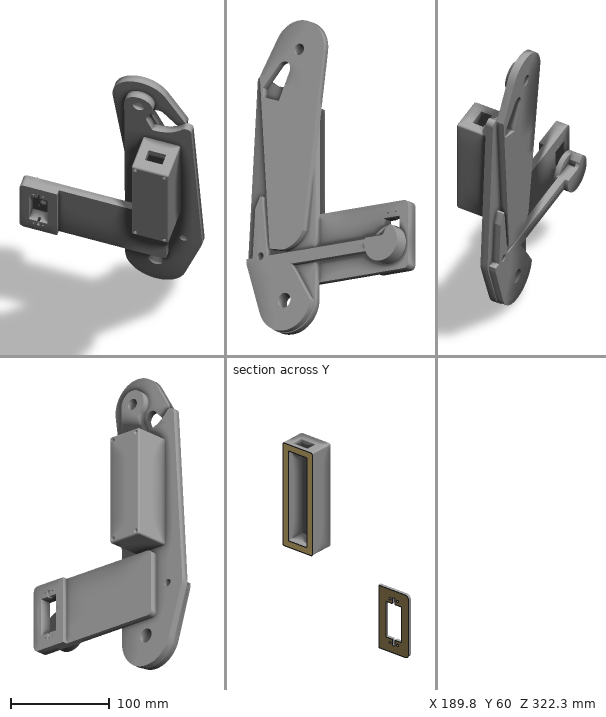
import cadquery as cq
import math


plate_thickness = 8.0
front_plate_face = -plate_thickness
lower_lever_thickness = 7.7
arm_thickness = 8.0
pad_thickness = 5.5
arm_face = front_plate_face - arm_thickness

pivot = (0, 0)
pivot_hole_diameter = 15.0
side_pivot = (29.3, 50.0)
side_hole_diameter = 8.0
top_pivot = (-18.5, 259.5)
top_hole_diameter = 12.0

pivot_lobe_radius = 32.5
side_lobe_radius = 20.0
top_lobe_radius = 15.0
horn_tip = (32.5, 235.8)
horn_tip_radius = 5.0
mouth_centre = (-2.0, 263.2)
mouth_left_angle = -92.5
notch_centre = (0.3, 241.5)
notch_edge_angle = 204

upper_lobe_radius = 30.3
upper_corner = (29.5, 238.0)
upper_left_corner = (-24.0, 74.0)
upper_left_facet_end = (-23.2, 70.2)
upper_end_mid = (-14.5, 59.3)
upper_end = (1.5, 52.8)
upper_right_foot = (17.7, 56.5)
window_radius = 7.7
window_right_angle = 43
window_left_length = 32.2
window_right_length = 29.0
window_right_drop = 9.7

disc_diameter = 40.0
disc_radius = disc_diameter / 2
disc_centre = (-120.5, 43.2)
web_thickness = 4.5
web_rim = 1.3
web_chamfer_width = 2.3
carrier_length = 12.0
disc_bore_diameter = 7.0
disc_pin_hole_diameter = 2.0
disc_pin_holes = [(7.5, 11.0), (-4.5, -6.8)]
shoulder_start = (-131.8, 59.5)
shoulder_crest = (-128.2, 57.0)

lower_lobe_radius = 31.5
bar_height = 12.5
bar_top = disc_centre[1] + bar_height / 2
bar_bottom = bar_top - bar_height
bar_tip = -125.3
bar_tip_radius = 4.8
bar_right = 46.0
bar_right_height = 5.8
ramp_foot_angle = 186.5
ramp_top = (-8.0, bar_bottom)
finger_outline = [(38.7, bar_top), (35.5, 101.0), (29.5, 112.5), (27.5, 112.5), (21.0, bar_top)]

arm_length = 154.5
arm_height = 71.2
arm_corner_radius = 5.0
arm_left = disc_centre[0] - disc_radius
arm_centre_z = 52.8
pad_length = 40.0
arm_window_width = 20.0
arm_window_height = 40.0
mount_hole_diameter = 2.0
mount_hole_spacing_x = 10.0
mount_hole_spacing_z = 49.5
cable_slot_width = 3.0
cable_slot_span = 53.5

box_width = 39.3
box_height = 116.5
box_centre = (6.5, 150.8)
box_depth = 32.0
lid_thickness = 8.0
box_edge_radius = 2.0
box_wall = 7.7
box_back_wall = 6.0
box_window_width = 18.7
box_window_depth = 12.5
box_window_centre_y = -29.0
screw_inset = 4.2
screw_hole_diameter = 2.0
countersink_diameter = 4.8
countersink_angle = 90


def polar(centre, radius, angle):
    """Point on a circle in the XZ plane, the angle in degrees from +X towards +Z."""
    turn = math.radians(angle)
    return (centre[0] + radius * math.cos(turn), centre[1] + radius * math.sin(turn))


def direction(start, end):
    """Angle in degrees of the line from start to end."""
    return math.degrees(math.atan2(end[1] - start[1], end[0] - start[0]))


def tangent_angle(centre_a, radius_a, centre_b, radius_b):
    """Angle of the tangent points on the right-hand side when going from circle a to circle b."""
    spread = math.acos((radius_a - radius_b) / math.dist(centre_a, centre_b))
    return direction(centre_a, centre_b) - math.degrees(spread)


def arc_to(path, centre, radius, start_angle, end_angle):
    """Continue a path along a circle from start_angle to end_angle."""
    middle = polar(centre, radius, (start_angle + end_angle) / 2)
    return path.threePointArc(middle, polar(centre, radius, end_angle))


def sketch_plane(y):
    """Plane facing -Y, on which X and Z are the sketch axes."""
    return cq.Workplane("XZ", origin=(0, y, 0))


def cylinder(centre, diameter, y_back, length):
    """Cylinder along Y that starts at y_back and runs towards -Y."""
    return sketch_plane(y_back).center(*centre).circle(diameter / 2).extrude(length)


def block(width, height, centre, y_back, depth):
    """Block centred in X and Z that starts at y_back and runs towards -Y."""
    return sketch_plane(y_back).center(*centre).rect(width, height).extrude(depth)


def make_front_plate():
    notch_radius = math.dist(notch_centre, top_pivot) - top_lobe_radius
    side_angle = tangent_angle(pivot, pivot_lobe_radius, side_pivot, side_lobe_radius)
    horn_angle = tangent_angle(side_pivot, side_lobe_radius, horn_tip, horn_tip_radius)
    left_angle = tangent_angle(top_pivot, top_lobe_radius, pivot, pivot_lobe_radius) + 360
    mouth_radius = math.dist(mouth_centre, horn_tip) - horn_tip_radius
    mouth_right_angle = direction(mouth_centre, horn_tip)
    horn_end_angle = mouth_right_angle + 180
    notch_to_lobe = direction(notch_centre, top_pivot)
    lobe_to_notch = notch_to_lobe - 180

    path = sketch_plane(0).moveTo(*polar(pivot, pivot_lobe_radius, side_angle))
    path = path.lineTo(*polar(side_pivot, side_lobe_radius, side_angle))
    path = arc_to(path, side_pivot, side_lobe_radius, side_angle, horn_angle)
    path = path.lineTo(*polar(horn_tip, horn_tip_radius, horn_angle))
    path = arc_to(path, horn_tip, horn_tip_radius, horn_angle, horn_end_angle)
    path = arc_to(path, mouth_centre, mouth_radius, mouth_right_angle, mouth_left_angle)
    path = path.lineTo(*polar(notch_centre, notch_radius, notch_edge_angle))
    path = arc_to(path, notch_centre, notch_radius, notch_edge_angle, notch_to_lobe)
    path = arc_to(path, top_pivot, top_lobe_radius, lobe_to_notch, left_angle)
    path = path.lineTo(*polar(pivot, pivot_lobe_radius, left_angle))
    path = arc_to(path, pivot, pivot_lobe_radius, left_angle, side_angle + 360)
    plate = path.close().extrude(plate_thickness)

    plate = plate.cut(cylinder(pivot, pivot_hole_diameter, 0, plate_thickness))
    plate = plate.cut(cylinder(side_pivot, side_hole_diameter, 0, plate_thickness))
    return plate.cut(cylinder(top_pivot, top_hole_diameter, 0, plate_thickness))


def make_upper_lever():
    right_angle = tangent_angle(upper_corner, 0, top_pivot, upper_lobe_radius)
    left_angle = tangent_angle(top_pivot, upper_lobe_radius, upper_left_corner, 0) + 360

    path = sketch_plane(plate_thickness).moveTo(*upper_corner)
    path = path.lineTo(*polar(top_pivot, upper_lobe_radius, right_angle))
    path = arc_to(path, top_pivot, upper_lobe_radius, right_angle, left_angle)
    path = path.lineTo(*upper_left_corner)
    path = path.lineTo(*upper_left_facet_end)
    path = path.threePointArc(upper_end_mid, upper_end)
    path = path.lineTo(*upper_right_foot)
    lever = path.close().extrude(plate_thickness)

    left_point = polar(notch_centre, window_radius, notch_edge_angle)
    right_point = polar(notch_centre, window_radius, window_right_angle)
    window = sketch_plane(plate_thickness).moveTo(*right_point)
    window = arc_to(window, notch_centre, window_radius, window_right_angle, notch_edge_angle)
    window = window.lineTo(*polar(left_point, window_left_length, notch_edge_angle + 90))
    right_end = polar(right_point, window_right_length, window_right_angle - 90)
    window = window.lineTo(right_end[0], right_end[1] - window_right_drop)
    window = window.lineTo(*right_end)
    lever = lever.cut(window.close().extrude(plate_thickness))
    return lever.cut(cylinder(top_pivot, top_hole_diameter, plate_thickness, plate_thickness))


def make_lower_lever():
    bar_right_foot = (bar_right, bar_top - bar_right_height)
    lobe_angle = tangent_angle(pivot, lower_lobe_radius, bar_right_foot, 0)

    path = sketch_plane(lower_lever_thickness).moveTo(*polar(pivot, lower_lobe_radius, lobe_angle))
    path = path.lineTo(*bar_right_foot)
    path = path.lineTo(bar_right, bar_top)
    for corner in finger_outline:
        path = path.lineTo(*corner)
    path = path.lineTo(bar_tip + bar_tip_radius, bar_top)
    upper_tip = (bar_tip + bar_tip_radius, bar_top - bar_tip_radius)
    lower_tip = (bar_tip + bar_tip_radius, bar_bottom + bar_tip_radius)
    path = arc_to(path, upper_tip, bar_tip_radius, 90, 180)
    path = path.lineTo(bar_tip, lower_tip[1])
    path = arc_to(path, lower_tip, bar_tip_radius, 180, 270)
    path = path.lineTo(*ramp_top)
    path = path.lineTo(*polar(pivot, lower_lobe_radius, ramp_foot_angle))
    path = arc_to(path, pivot, lower_lobe_radius, ramp_foot_angle, lobe_angle + 360)
    lever = path.close().extrude(lower_lever_thickness)

    lever = lever.cut(cylinder(pivot, pivot_hole_diameter, lower_lever_thickness, lower_lever_thickness))
    return lever.cut(cylinder(side_pivot, side_hole_diameter, lower_lever_thickness, lower_lever_thickness))


def make_disc():
    disc_length = carrier_length + web_thickness
    clearance = disc_diameter
    cut_top = shoulder_start[1] + clearance
    cut_right = bar_tip + clearance
    shoulder_round = (bar_tip + bar_tip_radius, bar_top + bar_tip_radius)

    carrier = cylinder(disc_centre, disc_diameter, carrier_length, disc_length)
    cutaway = sketch_plane(carrier_length).moveTo(shoulder_start[0], cut_top)
    cutaway = cutaway.lineTo(*shoulder_start)
    cutaway = cutaway.threePointArc(shoulder_crest, (bar_tip, shoulder_round[1]))
    cutaway = arc_to(cutaway, shoulder_round, bar_tip_radius, 180, 270)
    cutaway = cutaway.lineTo(cut_right, bar_top)
    cutaway = cutaway.lineTo(cut_right, cut_top)
    carrier = carrier.cut(cutaway.close().extrude(disc_length))

    slot_centre = (bar_tip + clearance / 2, bar_bottom + clearance / 2)
    slot = block(clearance, clearance, slot_centre, lower_lever_thickness, lower_lever_thickness)
    carrier = carrier.cut(slot)

    web = cylinder(disc_centre, disc_diameter, 0, web_thickness)
    web = web.faces(">Y").chamfer(web_thickness - web_rim, web_chamfer_width)
    disc = carrier.union(web)

    disc = disc.cut(cylinder(disc_centre, disc_bore_diameter, 0, web_thickness))
    for offset_x, offset_z in disc_pin_holes:
        centre = (disc_centre[0] + offset_x, disc_centre[1] + offset_z)
        disc = disc.cut(cylinder(centre, disc_pin_hole_diameter, 0, web_thickness))
    return disc


def mount_opening(y_back, depth):
    """Rectangular window with a small screw hole near each of its corners."""
    centre = (disc_centre[0], arm_centre_z)
    window = block(arm_window_width, arm_window_height, centre, y_back, depth)
    holes = (
        sketch_plane(y_back)
        .center(*centre)
        .rect(mount_hole_spacing_x, mount_hole_spacing_z, forConstruction=True)
        .vertices()
        .circle(mount_hole_diameter / 2)
        .extrude(depth)
    )
    return window.add(holes).combine()


def make_arm():
    centre = (arm_left + arm_length / 2, arm_centre_z)
    arm = block(arm_length, arm_height, centre, front_plate_face, arm_thickness)
    arm = arm.edges("|Y").fillet(arm_corner_radius)
    return arm.cut(mount_opening(front_plate_face, arm_thickness))


def make_pad():
    centre = (arm_left + pad_length / 2, arm_centre_z)
    pad = block(pad_length, arm_height, centre, arm_face, pad_thickness)
    pad = pad.edges("|Y and <X").fillet(arm_corner_radius)
    pad = pad.cut(mount_opening(arm_face, pad_thickness))
    slot_centre = (disc_centre[0], arm_centre_z)
    return pad.cut(block(cable_slot_width, cable_slot_span, slot_centre, arm_face, pad_thickness))


def make_box():
    box = block(box_width, box_height, box_centre, front_plate_face, box_depth)
    box = box.edges("|Y").fillet(box_edge_radius)
    cavity = block(
        box_width - 2 * box_wall,
        box_height - 2 * box_wall,
        box_centre,
        front_plate_face - box_back_wall,
        box_depth - box_back_wall,
    )
    top = box_centre[1] + box_height / 2
    window = cq.Workplane("XY", origin=(box_centre[0], box_window_centre_y, top))
    window = window.rect(box_window_width, box_window_depth).extrude(-box_wall)
    return box.cut(cavity).cut(window)


def make_lid():
    lid = block(box_width, box_height, box_centre, front_plate_face - box_depth, lid_thickness)
    lid = lid.edges("|Y").fillet(box_edge_radius)
    lid = lid.faces("<Y").edges().fillet(box_edge_radius)
    return (
        lid.faces("<Y")
        .workplane(origin=(box_centre[0], 0, box_centre[1]))
        .rect(box_width - 2 * screw_inset, box_height - 2 * screw_inset, forConstruction=True)
        .vertices()
        .cskHole(screw_hole_diameter, countersink_diameter, countersink_angle)
    )


front_plate = make_front_plate()
upper_lever = make_upper_lever()
lower_lever = make_lower_lever()
disc = make_disc()
arm = make_arm()
pad = make_pad()
box = make_box()
lid = make_lid()

result = cq.Compound.makeCompound(
    [
        front_plate.val(),
        upper_lever.val(),
        lower_lever.val(),
        disc.val(),
        arm.val(),
        pad.val(),
        box.val(),
        lid.val(),
    ]
)